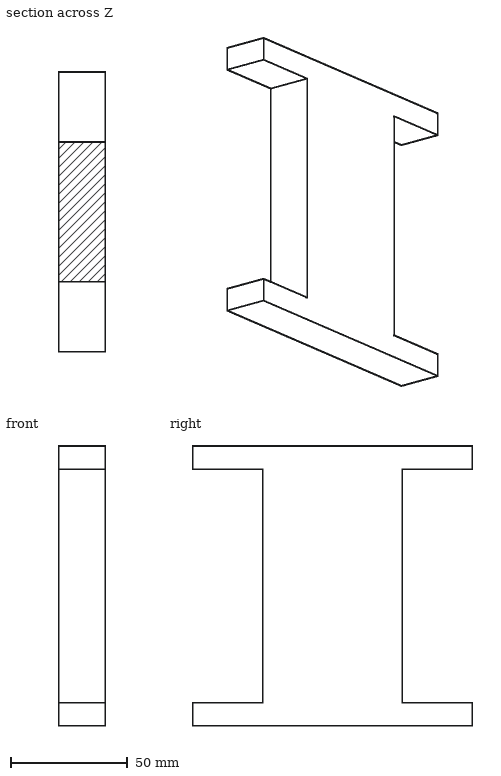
import cadquery as cq

side = 120.0
thickness = side / 6
flange_height = thickness / 2
web_width = side / 2


def flange(z_direction):
    """Full-width bar at the top (+1) or bottom (-1) of the web."""
    z_center = z_direction * (side - flange_height) / 2
    return cq.Workplane("XY").box(thickness, side, flange_height).translate((0, 0, z_center))


result = cq.Workplane("XY").box(thickness, web_width, side)
for z_direction in (-1, 1):
    result = result.union(flange(z_direction))
result = result.clean()